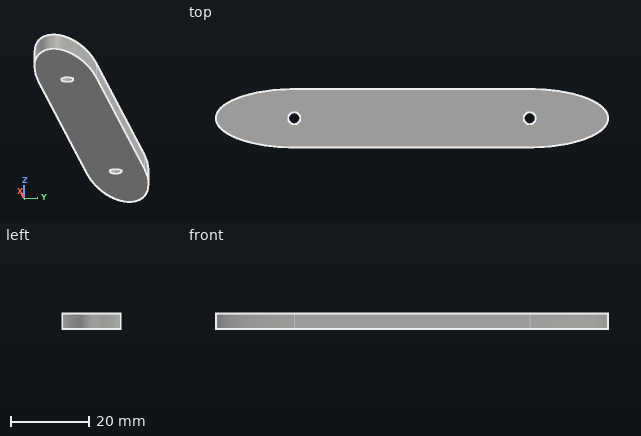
import cadquery as cq

length = 100.0
width = 15.0
thickness = 4.0

straight_length = 60.0
end_length = (length - straight_length) / 2

hole_diameter = 3.0
hole_spacing = straight_length


def elliptical_end(side):
    """End plate shaped as an ellipse centred at one end of the straight stretch (side is -1 or +1)."""
    return (
        cq.Workplane("XY")
        .center(side * straight_length / 2, 0)
        .ellipse(end_length, width / 2)
        .extrude(thickness)
    )


def plate():
    """Flat bar with both of its ends rounded to half ellipses."""
    body = cq.Workplane("XY").box(straight_length, width, thickness, centered=(True, True, False))
    for side in (-1, 1):
        body = body.union(elliptical_end(side))
    return body


def drill_holes(body):
    """Cut the two plain holes through the full thickness."""
    return (
        body.faces(">Z")
        .workplane(origin=(0, 0, thickness))
        .rarray(hole_spacing, 1, 2, 1)
        .hole(hole_diameter)
    )


result = drill_holes(plate().clean())